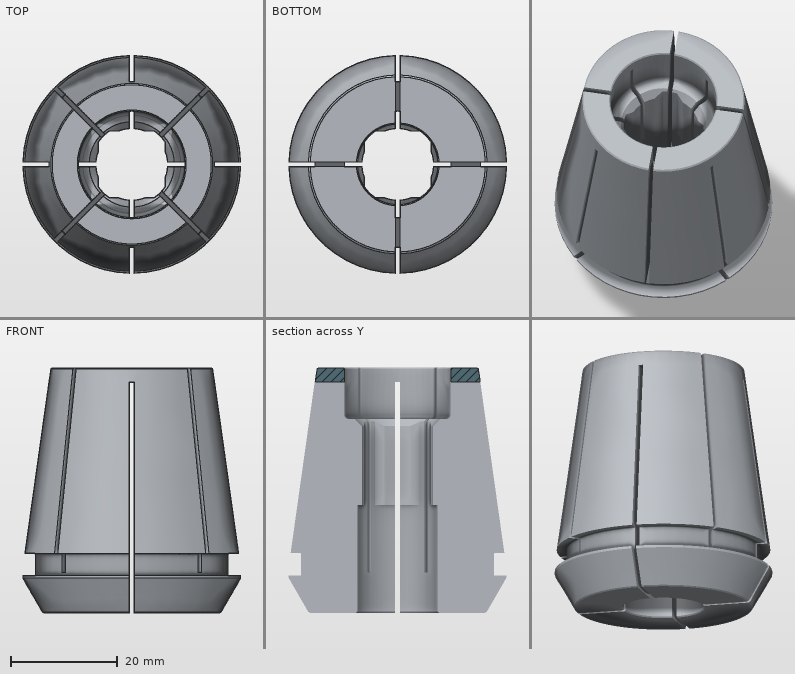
import cadquery as cq
import math

total_height = 46.0
body_bottom_z = 11.2
body_bottom_radius = 20.05
body_taper_deg = 8.0
neck_radius = 18.1
neck_fillet = 0.2
flange_top_z = 7.0
flange_rim_height = 0.45
flange_radius = 20.42
nose_taper_deg = 30.0
end_chamfer = 0.25

relief_radius = 10.0
relief_floor_z = 36.35
relief_fillet = 0.8
lead_in_radius = 8.0
lead_in_angle_deg = 45.0
pilot_radius = 6.7
square_side = 12.5
shank_radius = 7.55
shank_bore_top_z = 20.25

slot_width = 0.87
slot_count_per_end = 4
nose_slot_top_z = 43.25
top_slot_floor_z = 7.6

slot_pitch_deg = 360.0 / slot_count_per_end
flange_rim_z = flange_top_z - flange_rim_height
nose_radius = flange_radius - flange_rim_z * math.tan(math.radians(nose_taper_deg))
body_top_radius = body_bottom_radius - (total_height - body_bottom_z) * math.tan(math.radians(body_taper_deg))
lead_in_depth = (lead_in_radius - pilot_radius) / math.tan(math.radians(lead_in_angle_deg))


def cylinder(radius, bottom_z, top_z):
    return cq.Workplane("XY").workplane(offset=bottom_z).circle(radius).extrude(top_z - bottom_z)


def outside():
    """Revolved outside with rounded corners at the root of the neck."""
    return (
        cq.Workplane("XZ")
        .lineTo(nose_radius, 0)
        .lineTo(flange_radius, flange_rim_z)
        .lineTo(flange_radius, flange_top_z)
        .lineTo(neck_radius + neck_fillet, flange_top_z)
        .tangentArcPoint((neck_radius, flange_top_z + neck_fillet), relative=False)
        .lineTo(neck_radius, body_bottom_z - neck_fillet)
        .tangentArcPoint((neck_radius + neck_fillet, body_bottom_z), relative=False)
        .lineTo(body_bottom_radius, body_bottom_z)
        .lineTo(body_top_radius, total_height)
        .lineTo(0, total_height)
        .close()
        .revolve(360, (0, 0, 0), (0, 1, 0))
    )


def relief_bore():
    """Bore from the top with a rounded corner at its floor."""
    return cylinder(relief_radius, relief_floor_z, total_height).faces("<Z").edges().fillet(relief_fillet)


def lead_in_cone():
    """Funnel from the relief floor down to the pilot hole."""
    return (
        cq.Workplane("XZ")
        .moveTo(0, relief_floor_z)
        .lineTo(lead_in_radius, relief_floor_z)
        .lineTo(pilot_radius, relief_floor_z - lead_in_depth)
        .lineTo(0, relief_floor_z - lead_in_depth)
        .close()
        .revolve(360, (0, 0, 0), (0, 1, 0))
    )


def square_socket():
    """Square hole with corners rounded to the shank bore and sides relieved by the pilot hole."""
    square = (
        cq.Workplane("XY")
        .workplane(offset=shank_bore_top_z)
        .rect(square_side, square_side)
        .extrude(relief_floor_z - shank_bore_top_z)
    )
    rounded_square = square.intersect(cylinder(shank_radius, shank_bore_top_z, relief_floor_z))
    return rounded_square.union(cylinder(pilot_radius, shank_bore_top_z, relief_floor_z))


def slot(angle_deg, bottom_z, top_z):
    """Radial slot running from the axis out through the wall."""
    return (
        cq.Workplane("XY")
        .workplane(offset=bottom_z)
        .rect(flange_radius + slot_width, slot_width, centered=(False, True))
        .extrude(top_z - bottom_z)
        .rotate((0, 0, 0), (0, 0, 1), angle_deg)
    )


result = (
    outside()
    .cut(relief_bore())
    .cut(lead_in_cone())
    .cut(square_socket())
    .cut(cylinder(shank_radius, 0, shank_bore_top_z))
)
result = result.faces("<Z or >Z").edges().chamfer(end_chamfer)

for index in range(slot_count_per_end):
    nose_slot_angle = index * slot_pitch_deg
    top_slot_angle = nose_slot_angle + slot_pitch_deg / 2
    result = result.cut(slot(nose_slot_angle, 0, nose_slot_top_z))
    result = result.cut(slot(top_slot_angle, top_slot_floor_z, total_height))